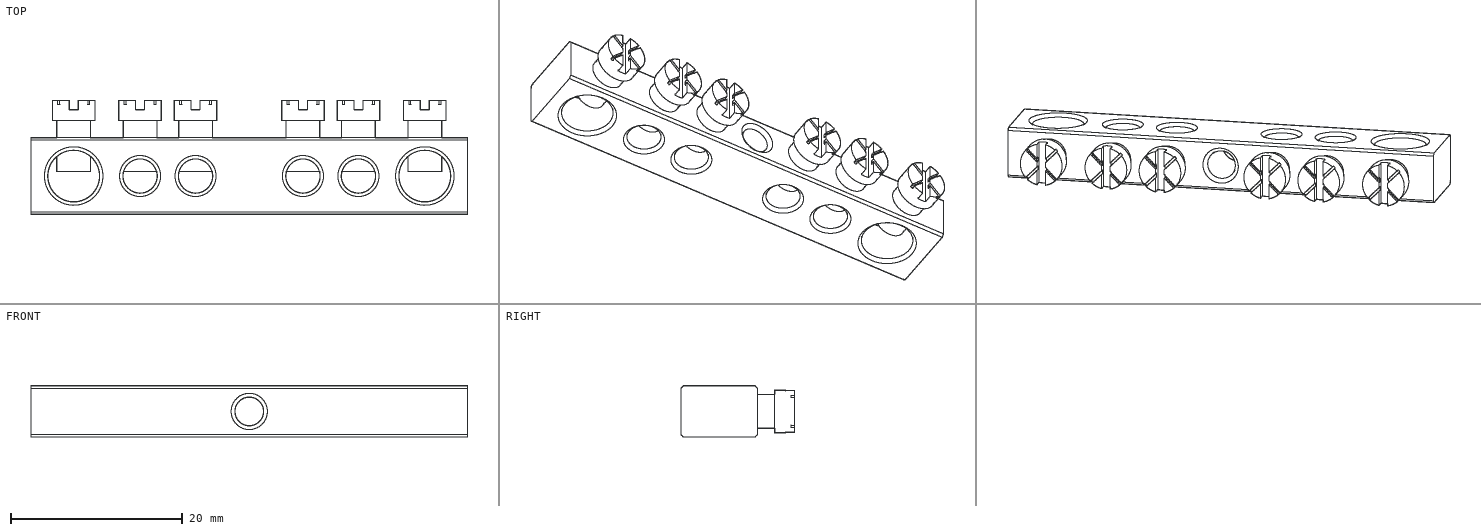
import cadquery as cq

BAR_LENGTH = 51.0
BAR_WIDTH = 9.0
BAR_HEIGHT = 6.0
BAR_EDGE_CHAMFER = 0.3

END_HOLE_DIAMETER = 6.0
INNER_HOLE_DIAMETER = 4.0
CROSS_HOLE_CHAMFER = 0.4

MOUNT_HOLE_DIAMETER = 3.3
MOUNT_HOLE_CHAMFER = 0.45

END_STATION_X = 20.5
MIDDLE_STATION_X = 12.75
NEAR_STATION_X = 6.25
INNER_STATIONS = [-MIDDLE_STATION_X, -NEAR_STATION_X, NEAR_STATION_X, MIDDLE_STATION_X]
END_STATIONS = [-END_STATION_X, END_STATION_X]

SHANK_DIAMETER = 4.0
SHANK_INSERTION = 4.0
SHANK_EXPOSED = 2.0
HEAD_DIAMETER = 5.0
HEAD_LENGTH = 2.35
SLOT_WIDTH = 1.0
SLOT_DEPTH = 1.05
GROOVE_WIDTH = 0.3
GROOVE_DEPTH = 0.45
GROOVE_ANGLES = [45, -45]

BAR_FACE_Y = BAR_WIDTH / 2
HEAD_SEAT_Y = BAR_FACE_Y + SHANK_EXPOSED
HEAD_TOP_Y = HEAD_SEAT_Y + HEAD_LENGTH


def chamfered_hole_cutter(diameter, depth, chamfer):
    """Through-hole tool along Z, centred on the origin, widening at both ends."""
    radius = diameter / 2
    half_depth = depth / 2
    mouth_radius = radius + chamfer
    chamfer_start = half_depth - chamfer
    return (
        cq.Workplane("XZ")
        .moveTo(0, -half_depth)
        .lineTo(mouth_radius, -half_depth)
        .lineTo(radius, -chamfer_start)
        .lineTo(radius, chamfer_start)
        .lineTo(mouth_radius, half_depth)
        .lineTo(0, half_depth)
        .close()
        .revolve(360, (0, 0), (0, 1))
    )


def y_cylinder(diameter, start_y, length):
    """Cylinder on the Y axis, running from start_y toward +Y."""
    start_plane = cq.Workplane(cq.Plane(origin=(0, start_y, 0), xDir=(1, 0, 0), normal=(0, 1, 0)))
    return start_plane.circle(diameter / 2).extrude(length)


def make_bar():
    """Bar with cross holes, screw holes and the mounting hole."""
    bar = (
        cq.Workplane("XY")
        .box(BAR_LENGTH, BAR_WIDTH, BAR_HEIGHT)
        .edges("|X")
        .chamfer(BAR_EDGE_CHAMFER)
    )

    end_hole = chamfered_hole_cutter(END_HOLE_DIAMETER, BAR_HEIGHT, CROSS_HOLE_CHAMFER)
    for x in END_STATIONS:
        bar = bar.cut(end_hole.translate((x, 0, 0)))

    inner_hole = chamfered_hole_cutter(INNER_HOLE_DIAMETER, BAR_HEIGHT, CROSS_HOLE_CHAMFER)
    for x in INNER_STATIONS:
        bar = bar.cut(inner_hole.translate((x, 0, 0)))

    screw_hole = y_cylinder(SHANK_DIAMETER, BAR_FACE_Y - SHANK_INSERTION, SHANK_INSERTION)
    for x in END_STATIONS + INNER_STATIONS:
        bar = bar.cut(screw_hole.translate((x, 0, 0)))

    mount_hole = chamfered_hole_cutter(MOUNT_HOLE_DIAMETER, BAR_WIDTH, MOUNT_HOLE_CHAMFER)
    return bar.cut(mount_hole.rotate((0, 0, 0), (1, 0, 0), 90))


def make_screw(x):
    """Slotted cylinder-head screw with two shallow diagonal grooves across the head."""
    shank = y_cylinder(SHANK_DIAMETER, BAR_FACE_Y - SHANK_INSERTION, SHANK_INSERTION + SHANK_EXPOSED)
    head = y_cylinder(HEAD_DIAMETER, HEAD_SEAT_Y, HEAD_LENGTH)
    screw = shank.union(head)

    cutter_length = 2 * HEAD_DIAMETER
    slot = (
        cq.Workplane("XY")
        .box(SLOT_WIDTH, SLOT_DEPTH, cutter_length)
        .translate((0, HEAD_TOP_Y - SLOT_DEPTH / 2, 0))
    )
    screw = screw.cut(slot)

    groove = (
        cq.Workplane("XY")
        .box(GROOVE_WIDTH, GROOVE_DEPTH, cutter_length)
        .translate((0, HEAD_TOP_Y - GROOVE_DEPTH / 2, 0))
    )
    for angle in GROOVE_ANGLES:
        screw = screw.cut(groove.rotate((0, 0, 0), (0, 1, 0), angle))

    return screw.translate((x, 0, 0))


bar = make_bar()
screws = [make_screw(x) for x in END_STATIONS + INNER_STATIONS]

result = cq.Compound.makeCompound([bar.solids().val(), *[screw.solids().val() for screw in screws]])